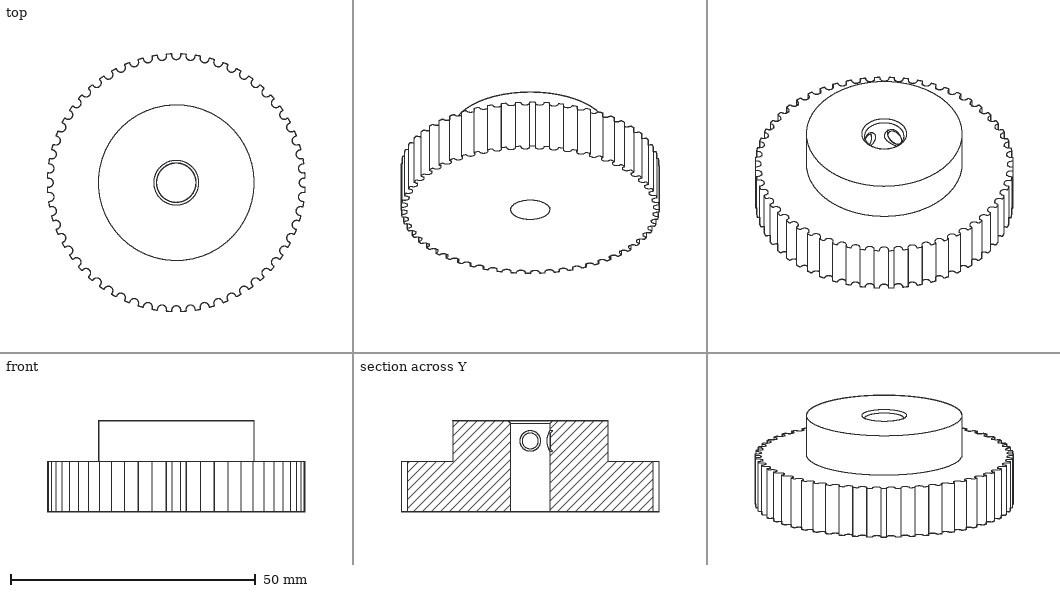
import cadquery as cq
import math

tooth_count = 56
rim_diameter = 52.7
rim_height = 10.3
groove_radius = 0.9
groove_depth = 1.2
tooth_tip_fillet = 0.15

hub_diameter = 31.8
hub_height = 8.3
total_height = rim_height + hub_height

bore_diameter = 8.0
bore_chamfer = 0.6

screw_radius = 2.1
screw_tip_chamfer = 0.5
screw_tip_distance = 4.05
screw_height = rim_height + hub_height / 2


def make_groove():
    """Round-bottomed belt groove centred on +X, flaring out over rounded tooth tips."""
    rim_radius = rim_diameter / 2
    arc_center = rim_radius - groove_depth + groove_radius
    fillet_y = groove_radius + tooth_tip_fillet
    fillet_x = math.sqrt((rim_radius - tooth_tip_fillet) ** 2 - fillet_y**2)
    rim_direction = math.atan2(fillet_y, fillet_x)
    tip_x = rim_radius * math.cos(rim_direction)
    tip_y = rim_radius * math.sin(rim_direction)
    wall_direction = -math.pi / 2
    middle_direction = (wall_direction + rim_direction) / 2
    middle_x = fillet_x + tooth_tip_fillet * math.cos(middle_direction)
    middle_y = fillet_y + tooth_tip_fillet * math.sin(middle_direction)
    clear_x = rim_radius + groove_radius
    return (
        cq.Workplane("XY")
        .moveTo(arc_center, groove_radius)
        .threePointArc((arc_center - groove_radius, 0), (arc_center, -groove_radius))
        .lineTo(fillet_x, -groove_radius)
        .threePointArc((middle_x, -middle_y), (tip_x, -tip_y))
        .lineTo(clear_x, -tip_y)
        .lineTo(clear_x, tip_y)
        .lineTo(tip_x, tip_y)
        .threePointArc((middle_x, middle_y), (fillet_x, groove_radius))
        .close()
        .extrude(rim_height)
    )


def make_rim():
    rim = cq.Workplane("XY").circle(rim_diameter / 2).extrude(rim_height)
    groove = make_groove()
    grooves = [
        groove.rotate((0, 0, 0), (0, 0, 1), index * 360 / tooth_count).val()
        for index in range(tooth_count)
    ]
    return rim.cut(cq.Workplane(cq.Compound.makeCompound(grooves)))


def make_bore():
    """Through bore with its conical mouth at the top."""
    radius = bore_diameter / 2
    return (
        cq.Workplane("XZ")
        .moveTo(0, 0)
        .lineTo(radius, 0)
        .lineTo(radius, total_height - bore_chamfer)
        .lineTo(radius + bore_chamfer, total_height)
        .lineTo(0, total_height)
        .close()
        .revolve(360, (0, 0, 0), (0, 1, 0))
    )


def make_screw_pocket():
    """Space left inside the +X screw hole by the chamfered screw tip."""
    chamfer_end = screw_tip_distance + screw_tip_chamfer
    return (
        cq.Workplane("XY", origin=(0, 0, screw_height))
        .lineTo(0, screw_radius)
        .lineTo(chamfer_end, screw_radius)
        .lineTo(screw_tip_distance, screw_radius - screw_tip_chamfer)
        .lineTo(screw_tip_distance, 0)
        .close()
        .revolve(360, (0, 0, 0), (1, 0, 0))
    )


hub = cq.Workplane("XY").circle(hub_diameter / 2).extrude(total_height)
result = make_rim().union(hub).cut(make_bore())
for screw_angle in (0, 90):
    result = result.cut(make_screw_pocket().rotate((0, 0, 0), (0, 0, 1), screw_angle))